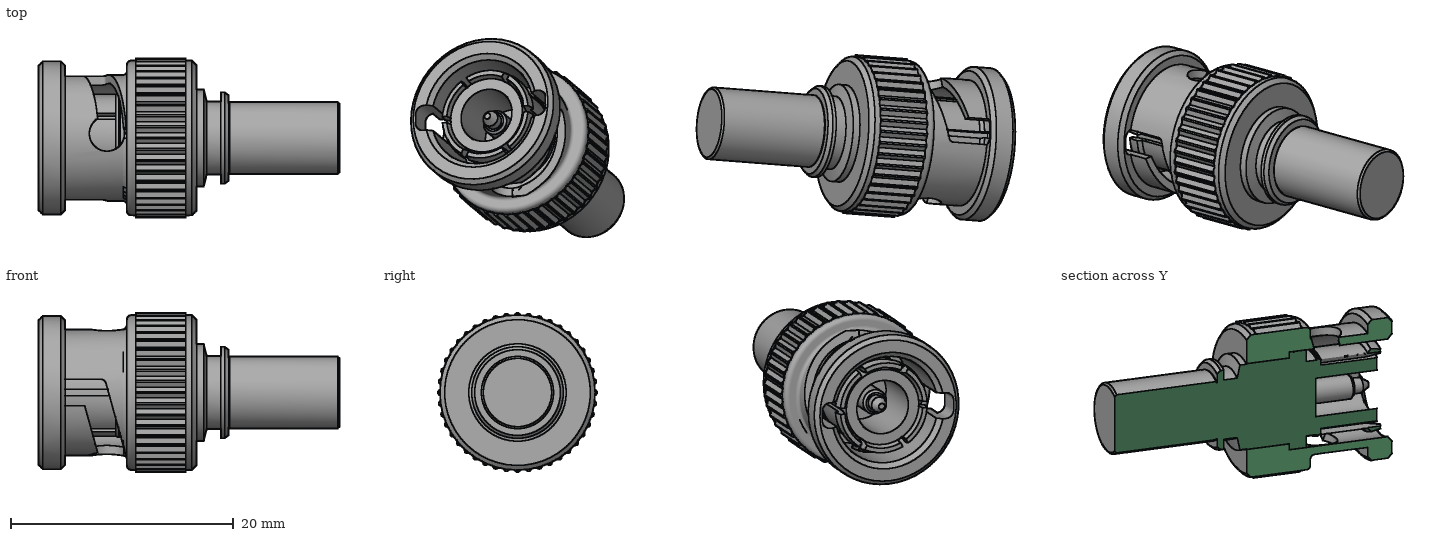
import cadquery as cq
import math


flange_radius = 6.9
flange_length = 2.4
flange_chamfer = 0.4
barrel_radius = 5.68
grip_start = 7.93
grip_end = 14.2
grip_radius = 6.97
grip_front_round = 0.42
grip_rear_chamfer = 0.42
barrel_fillet = 0.33

bore_radius = 4.9
bore_mouth_radius = 5.37
bore_mouth_depth = 0.42

knurl_start = 8.75
knurl_end = 13.25
knurl_radius = 7.15
knurl_ribs = 44
rib_top_width = 0.17
groove_angle = 105
knurl_core_wall = 1

slot_half_height = 1.18
slot_outer_radius = 6.27
slot_corner_round = 0.75
ramp_slope = 0.2765
ramp_near_x = 4.15
ramp_width = 2.47
ramp_far_round = 0.45
lock_hole_x = 6.15
lock_hole_offset = 0.4
lock_hole_radius = 1.58

tip_face_x = 1.12
tip_face_inner_radius = 3.72
tip_face_outer_radius = 4.14
flare_end = 2.4
lip_radius = 4.28
lip_x = 1.9
lip_end = 2.1
sleeve_radius = 3.93
sleeve_start = 2.4
sleeve_end = 6.95
rim_radius = 4.03
rim_start = 7.2
rim_end = 7.36
collar_start = 8.35
collar_end = 10.0
neck_radius = 4.38
neck_end = 14.85
stem_start = 15.12
stem_radius = 3.3
ring_start = 16.4
ring_radius = 4.12
ring_chamfer_start = 16.72
ring_end = 17.08
ring_end_radius = 3.85
tube_radius = 3.25
tube_front_chamfer = 0.1
tube_rear_chamfer = 0.18
total_length = 27.05

slit_count = 6
slit_width = 0.58
insulator_radius = 3.46
insulator_face_x = 1.45
socket_radius = 2.46
socket_floor_x = 7.4
pin_tip_x = 1.68
pin_tip_radius = 0.28
pin_radius = 0.71
pin_cone_end = 2.4
pin_shoulder_x = 3.3
pin_shoulder_radius = 0.9
pin_base_x = 3.55
pin_base_radius = 1.12


def revolve_about_x(profile):
    """Turn a closed half profile, drawn as (X, radius), about the X axis."""
    return profile.close().revolve(360, (0, 0, 0), (1, 0, 0))


def cylinder_along_x(radius, start, end):
    return cq.Workplane("YZ", origin=(start, 0, 0)).circle(radius).extrude(end - start)


def make_nut_blank():
    outline = (
        cq.Workplane("XY")
        .moveTo(0, bore_mouth_radius)
        .lineTo(0, flange_radius - flange_chamfer)
        .lineTo(flange_chamfer, flange_radius)
        .lineTo(flange_length - flange_chamfer, flange_radius)
        .lineTo(flange_length, flange_radius - flange_chamfer)
        .lineTo(flange_length, barrel_radius)
        .lineTo(grip_start - barrel_fillet, barrel_radius)
        .radiusArc((grip_start, barrel_radius + barrel_fillet), -barrel_fillet)
        .lineTo(grip_start, grip_radius - grip_front_round)
        .radiusArc((grip_start + grip_front_round, grip_radius), grip_front_round)
        .lineTo(grip_end - grip_rear_chamfer, grip_radius)
        .lineTo(grip_end, grip_radius - grip_rear_chamfer)
        .lineTo(grip_end, neck_radius)
        .lineTo(collar_end, neck_radius)
        .lineTo(collar_end, bore_radius)
        .lineTo(bore_mouth_depth, bore_radius)
    )
    return revolve_about_x(outline)


def make_knurl():
    """Star-shaped bar whose flat-topped points are the ribs."""
    rib_pitch = 2 * math.pi / knurl_ribs
    half_top = math.asin(rib_top_width / 2 / knurl_radius)
    half_gap = knurl_radius * math.sin(rib_pitch / 2 - half_top)
    groove_depth = half_gap / math.tan(math.radians(groove_angle / 2))
    groove_radius = knurl_radius * math.cos(rib_pitch / 2 - half_top) - groove_depth
    points = []
    for rib in range(knurl_ribs):
        middle = rib * rib_pitch
        for radius, angle in (
            (knurl_radius, middle - half_top),
            (knurl_radius, middle + half_top),
            (groove_radius, middle + rib_pitch / 2),
        ):
            points.append((radius * math.cos(angle), radius * math.sin(angle)))
    star = cq.Workplane("YZ", origin=(knurl_start, 0, 0)).polyline(points).close()
    return star.extrude(knurl_end - knurl_start)


def make_bayonet_slot():
    """Entry slot, slanted ramp and locking hole on the -Y side of the nut."""
    entry = (
        cq.Workplane("XY")
        .box(flange_length, slot_outer_radius, 2 * slot_half_height, centered=(False, False, True))
        .translate((0, -slot_outer_radius, 0))
        .edges("|X and <Y")
        .fillet(slot_corner_round)
    )
    ramp_drop = barrel_radius - slot_half_height
    far_rise = 2 * slot_half_height
    near_bottom_x = ramp_near_x + ramp_slope * ramp_drop
    far_top_x = ramp_near_x + ramp_width - ramp_slope * far_rise
    far_top_edge = (far_top_x, -barrel_radius / 2, slot_half_height)
    ramp = (
        cq.Workplane("XZ")
        .moveTo(flange_length, slot_half_height)
        .lineTo(far_top_x, slot_half_height)
        .lineTo(near_bottom_x + ramp_width, -barrel_radius)
        .lineTo(near_bottom_x, -barrel_radius)
        .lineTo(ramp_near_x, -slot_half_height)
        .lineTo(flange_length, -slot_half_height)
        .close()
        .extrude(barrel_radius + barrel_fillet)
        .edges(cq.selectors.NearestToPointSelector(far_top_edge))
        .fillet(ramp_far_round)
    )
    lock_hole = (
        cq.Workplane("XY")
        .center(lock_hole_x, -lock_hole_offset)
        .circle(lock_hole_radius)
        .extrude(-(barrel_radius + barrel_fillet))
    )
    return entry.union(ramp).union(lock_hole)


def make_coupling_nut():
    grip_core = cylinder_along_x(bore_radius + knurl_core_wall, knurl_start, knurl_end)
    knurl_band = cylinder_along_x(knurl_radius, knurl_start, knurl_end).cut(grip_core)
    knurl = make_knurl().cut(grip_core)
    nut = make_nut_blank().cut(knurl_band).union(knurl)
    slot = make_bayonet_slot()
    for turn in (0, 180):
        nut = nut.cut(slot.rotate((0, 0, 0), (1, 0, 0), turn))
    return nut


def make_body_shell():
    """Outer turned form, from the spring fingers back to the crimp tube, solid inside."""
    outline = (
        cq.Workplane("XY")
        .moveTo(tip_face_x, 0)
        .lineTo(tip_face_x, tip_face_outer_radius)
        .lineTo(lip_x, lip_radius)
        .lineTo(lip_end, lip_radius)
        .lineTo(sleeve_start, sleeve_radius)
        .lineTo(sleeve_end, sleeve_radius)
        .lineTo(rim_start, rim_radius)
        .lineTo(rim_end, rim_radius)
        .lineTo(rim_end, sleeve_radius)
        .lineTo(collar_start, sleeve_radius)
        .lineTo(collar_start, bore_radius)
        .lineTo(collar_end, bore_radius)
        .lineTo(collar_end, neck_radius)
        .lineTo(neck_end, neck_radius)
        .lineTo(stem_start, stem_radius)
        .lineTo(ring_start, stem_radius)
        .lineTo(ring_start, ring_radius)
        .lineTo(ring_chamfer_start, ring_radius)
        .lineTo(ring_end, ring_end_radius)
        .lineTo(ring_end, tube_radius - tube_front_chamfer)
        .lineTo(ring_end + tube_front_chamfer, tube_radius)
        .lineTo(total_length - tube_rear_chamfer, tube_radius)
        .lineTo(total_length, tube_radius - tube_rear_chamfer)
        .lineTo(total_length, 0)
    )
    return revolve_about_x(outline)


def make_front_cavity():
    """Space in front of the insulator and the tapered gap between it and the finger tips."""
    outline = (
        cq.Workplane("XY")
        .moveTo(tip_face_x, 0)
        .lineTo(tip_face_x, tip_face_inner_radius)
        .lineTo(flare_end, insulator_radius)
        .lineTo(insulator_face_x, insulator_radius)
        .lineTo(insulator_face_x, 0)
    )
    return revolve_about_x(outline)


def make_slits():
    """Six radial slits between the spring fingers, ending on the insulator."""
    blade = (
        cq.Workplane("XY")
        .box(sleeve_end - tip_face_x, lip_radius, slit_width, centered=(False, False, True))
        .translate((tip_face_x, 0, 0))
    )
    slits = cq.Workplane("XY")
    for index in range(slit_count):
        slits = slits.union(blade.rotate((0, 0, 0), (1, 0, 0), index * 360 / slit_count))
    return slits.cut(cylinder_along_x(insulator_radius, tip_face_x, sleeve_end))


def make_pin():
    outline = (
        cq.Workplane("XY")
        .moveTo(pin_tip_x, 0)
        .lineTo(pin_tip_x, pin_tip_radius)
        .lineTo(pin_cone_end, pin_radius)
        .lineTo(pin_shoulder_x, pin_radius)
        .lineTo(pin_shoulder_x, pin_shoulder_radius)
        .lineTo(pin_base_x, pin_base_radius)
        .lineTo(socket_floor_x, pin_base_radius)
        .lineTo(socket_floor_x, 0)
    )
    return revolve_about_x(outline)


def make_contact_body():
    socket = cylinder_along_x(socket_radius, insulator_face_x, socket_floor_x)
    body = make_body_shell().cut(make_front_cavity()).cut(make_slits()).cut(socket)
    return body.union(make_pin())


coupling_nut = make_coupling_nut()
contact_body = make_contact_body()

result = cq.Compound.makeCompound([coupling_nut.val(), contact_body.val()])